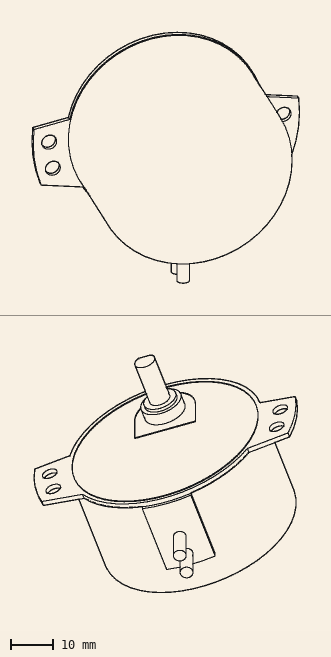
import cadquery as cq
import math


plate_radius = 24.1
plate_thickness = 1.2
housing_radius = 23.85
housing_back = 27.5
back_fillet = 2.0
recess_radius = 23.0
recess_depth = 0.2

ear_radius = 32.4
ear_slope = math.radians(10)
ear_top_at_axis = 9.3
ear_bottom_at_axis = -16.45
hole_diameter = 3.6
hole_pitch_radius = 28.5
hole_angles = (-0.3, -14.3)

shaft_height = 12.5
shaft_radius = 2.5
shaft_length = 15.0
flat_length = 10.0
flat_height = 2.0
bearing_radius = 5.0
bearing_length = 3.0
collar_radius = 4.0
collar_length = 0.8
pad_radius = 7.5
pad_drop = 7.5

outlet_radius = 24.9
outlet_width = 12.0
outlet_length = 18.0
wire_radius = 1.5
wire_positions = (11.0, 16.0)
overall_height = 57.0
wire_bottom = plate_radius - overall_height


def cylinder_x(radius, x_start, x_end, height=0.0):
    """Cylinder along X, with its axis at the given height."""
    disc = cq.Workplane("YZ", origin=(x_start, 0, height)).circle(radius)
    return disc.extrude(x_end - x_start)


def on_circle(radius, angle):
    """Point (y, z) on a circle about the housing axis, at an angle from +Y in radians."""
    return radius * math.cos(angle), radius * math.sin(angle)


def ear_corner(height_at_axis, slope):
    """Point where the line z = height_at_axis + slope * y crosses the ear arc."""
    line_angle = math.atan(slope)
    axis_distance = height_at_axis * math.cos(line_angle)
    corner_angle = line_angle + math.asin(axis_distance / ear_radius)
    return on_circle(ear_radius, corner_angle)


def make_ear():
    """Ear on the +Y side, tapering outwards to an arc about the housing axis."""
    slope = math.tan(ear_slope)
    top = ear_corner(ear_top_at_axis, -slope)
    bottom = ear_corner(ear_bottom_at_axis, slope)
    middle_angle = (math.atan2(top[1], top[0]) + math.atan2(bottom[1], bottom[0])) / 2
    middle = on_circle(ear_radius, middle_angle)
    ear = (
        cq.Workplane("YZ")
        .moveTo(0, ear_top_at_axis)
        .lineTo(*top)
        .threePointArc(middle, bottom)
        .lineTo(0, ear_bottom_at_axis)
        .close()
        .extrude(plate_thickness)
    )
    hole_centers = [on_circle(hole_pitch_radius, math.radians(angle)) for angle in hole_angles]
    holes = cq.Workplane("YZ").pushPoints(hole_centers).circle(hole_diameter / 2).extrude(plate_thickness)
    return ear.cut(holes)


def make_plate():
    """Round plate with two mirrored ears and a shallow recess in its front face."""
    ear = make_ear()
    plate = cylinder_x(plate_radius, 0, plate_thickness).union(ear).union(ear.mirror("XZ"))
    return plate.cut(cylinder_x(recess_radius, 0, recess_depth))


def make_housing():
    """Plain can with a rounded back edge."""
    return cylinder_x(housing_radius, plate_thickness, housing_back).faces(">X").edges().fillet(back_fillet)


def make_pad():
    """Round-topped pad around the bearing, filling the recess up to the plate face."""
    return (
        cq.Workplane("YZ")
        .moveTo(-pad_radius, shaft_height - pad_drop)
        .lineTo(-pad_radius, shaft_height)
        .threePointArc((0, shaft_height + pad_radius), (pad_radius, shaft_height))
        .lineTo(pad_radius, shaft_height - pad_drop)
        .close()
        .extrude(recess_depth)
    )


def make_shaft():
    """Bearing, collar and output shaft with a flat on its upper side."""
    collar_front = -bearing_length - collar_length
    bearing = cylinder_x(bearing_radius, -bearing_length, 0, shaft_height)
    collar = cylinder_x(collar_radius, collar_front, -bearing_length, shaft_height)
    shaft = cylinder_x(shaft_radius, -shaft_length, collar_front, shaft_height)
    flat_cut = cq.Workplane("XY", origin=(-shaft_length, 0, shaft_height + flat_height)).box(
        flat_length, 2 * shaft_radius, shaft_radius, centered=(False, True, False)
    )
    return bearing.union(collar).union(shaft.cut(flat_cut))


def make_outlet():
    """Curved cable outlet under the housing, with two wires pointing down."""
    strip = cq.Workplane("XY", origin=(plate_thickness, 0, -outlet_radius)).box(
        outlet_length, outlet_width, outlet_radius, centered=(False, True, False)
    )
    outlet = cylinder_x(outlet_radius, plate_thickness, plate_thickness + outlet_length).intersect(strip)
    wires = (
        cq.Workplane("XY", origin=(0, 0, wire_bottom))
        .pushPoints([(x, 0) for x in wire_positions])
        .circle(wire_radius)
        .extrude(-wire_bottom)
    )
    return outlet.union(wires)


result = make_plate().union(make_housing()).union(make_pad()).union(make_shaft()).union(make_outlet())